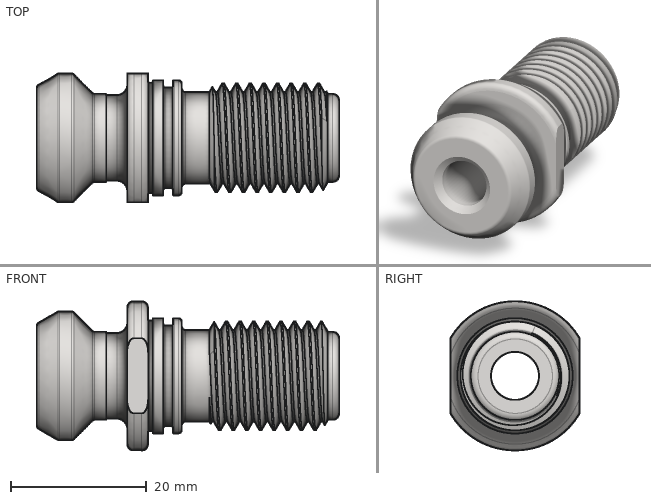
import cadquery as cq
import math

length = 44.5

head_radius = 9.5
head_nose_radius = 7.65
head_nose_angle = 30.0
head_land_end = 5.3
head_back_angle = 45.0
head_nose_round = 0.6
head_rim_round = 0.45

neck_radius = 6.5
neck_relief_radius = 6.3
neck_relief_start = 10.2
neck_round = 0.4
neck_step_round = 0.05
flange_root_round = 1.5

flange_radius = 11.0
flange_start = 13.3
flange_width = 3.05
flange_round = 1.0
across_flats = 2 * head_radius

pilot_radius = 8.5
pilot_relief_radius = 8.15
pilot_start = 17.05
groove_radius = 7.45
groove_start = 18.65
groove_end = 20.02
pilot_end = 21.35
pilot_round = 0.6
edge_round = 0.2

shank_radius = 6.75
shank_root_round = 0.5
tip_radius = 6.5
tip_round = 1.02

thread_radius = 8.0
thread_pitch = 2.0
thread_start = 25.4
thread_end = 42.8
thread_end_angle = 60.0
flank_angle = 30.0
crest_width = thread_pitch / 8
ridge_base_radius = shank_radius - 0.1
ridge_start = 24.2
ridge_start_angle = 36.0
ridge_end = 44.0
cutter_clearance = 0.22

bore_radius = 3.5
bore_mouth_radius = 4.5


def tan(degrees):
    return math.tan(math.radians(degrees))


def rounded_outline(corners):
    """Closed outline through (x, radius, round) corners, each with a tangent arc of that round."""
    outline = None
    for i, (x, y, fillet) in enumerate(corners):
        corner = cq.Vector(x, y)
        if fillet == 0:
            outline = outline.lineTo(x, y) if outline else cq.Workplane("XZ").moveTo(x, y)
            continue
        to_last = (cq.Vector(*corners[i - 1][:2]) - corner).normalized()
        to_next = (cq.Vector(*corners[i + 1][:2]) - corner).normalized()
        half_angle = to_last.getAngle(to_next) / 2
        setback = fillet / math.tan(half_angle)
        arc_depth = fillet / math.sin(half_angle) - fillet
        middle = corner + (to_last + to_next).normalized() * arc_depth
        arc_start = corner + to_last * setback
        arc_end = corner + to_next * setback
        outline = outline.lineTo(arc_start.x, arc_start.y)
        outline = outline.threePointArc((middle.x, middle.y), (arc_end.x, arc_end.y))
    return outline.close()


def revolve_about_x(outline):
    return outline.revolve(360, (0, 0, 0), (1, 0, 0))


def turned_body():
    head_land_start = (head_radius - head_nose_radius) / tan(head_nose_angle)
    head_back_end = head_land_end + (head_radius - neck_radius) / tan(head_back_angle)
    flange_end = flange_start + flange_width
    shank_end = thread_end - (shank_radius - tip_radius) / tan(thread_end_angle)
    corners = [
        (0, 0, 0),
        (0, head_nose_radius, head_nose_round),
        (head_land_start, head_radius, head_rim_round),
        (head_land_end, head_radius, head_rim_round),
        (head_back_end, neck_radius, neck_round),
        (neck_relief_start, neck_radius, neck_step_round),
        (neck_relief_start, neck_relief_radius, neck_step_round),
        (flange_start, neck_relief_radius, flange_root_round),
        (flange_start, flange_radius, flange_round),
        (flange_end, flange_radius, flange_round),
        (flange_end, pilot_relief_radius, edge_round),
        (pilot_start, pilot_relief_radius, edge_round / 2),
        (pilot_start, pilot_radius, edge_round),
        (groove_start, pilot_radius, edge_round),
        (groove_start, groove_radius, edge_round),
        (groove_end, groove_radius, edge_round),
        (groove_end, pilot_radius, edge_round),
        (pilot_end, pilot_radius, pilot_round),
        (pilot_end, shank_radius, shank_root_round),
        (shank_end, shank_radius, 0),
        (thread_end, tip_radius, 0),
        (length, tip_radius, tip_round),
        (length, 0, 0),
    ]
    return revolve_about_x(rounded_outline(corners))


def thread_ridge():
    """Right-handed helical ridge of V section, running past both ends of the finished thread."""
    base_width = crest_width + 2 * (thread_radius - ridge_base_radius) * tan(flank_angle)
    helix = cq.Wire.makeHelix(thread_pitch, ridge_end - ridge_start, ridge_base_radius)
    ridge = (
        cq.Workplane("XZ")
        .polyline([
            (ridge_base_radius, -base_width / 2),
            (thread_radius, -crest_width / 2),
            (thread_radius, crest_width / 2),
            (ridge_base_radius, base_width / 2),
        ])
        .close()
        .sweep(cq.Workplane(obj=helix), isFrenet=True)
    )
    return (
        ridge.rotate((0, 0, 0), (0, 1, 0), 90)
        .rotate((0, 0, 0), (1, 0, 0), -90 - ridge_start_angle)
        .translate((ridge_start, 0, 0))
    )


def thread_end_cutter(foot_x, foot_radius, outward):
    """Ring bounded by a cone through (foot_x, foot_radius), lying on the outward side (-1 or +1 in X)."""
    inner_radius = ridge_base_radius - cutter_clearance
    outer_radius = thread_radius + cutter_clearance
    cone_inner_x = foot_x - outward * (inner_radius - foot_radius) / tan(thread_end_angle)
    cone_outer_x = foot_x - outward * (outer_radius - foot_radius) / tan(thread_end_angle)
    far_x = foot_x + outward * 2 * thread_pitch
    outline = cq.Workplane("XZ").polyline([
        (far_x, inner_radius),
        (cone_inner_x, inner_radius),
        (cone_outer_x, outer_radius),
        (far_x, outer_radius),
    ]).close()
    return revolve_about_x(outline)


def thread():
    start_cutter = thread_end_cutter(thread_start, shank_radius, -1)
    end_cutter = thread_end_cutter(thread_end, tip_radius, 1)
    return thread_ridge().cut(start_cutter).cut(end_cutter)


def flange_flat(side):
    """Block that cuts the flange flat on one side, side being +1 or -1 along Y."""
    depth = flange_radius - across_flats / 2
    return cq.Workplane("XY").box(flange_width, depth, 2 * flange_radius).translate(
        (flange_start + flange_width / 2, side * (across_flats + depth) / 2, 0)
    )


def bore():
    mouth_depth = bore_mouth_radius - bore_radius
    outline = cq.Workplane("XZ").polyline([
        (0, 0),
        (0, bore_mouth_radius),
        (mouth_depth, bore_radius),
        (length, bore_radius),
        (length, 0),
    ]).close()
    return revolve_about_x(outline)


result = turned_body().cut(bore())
for side in (-1, 1):
    result = result.cut(flange_flat(side))
result = result.union(thread(), clean=False)